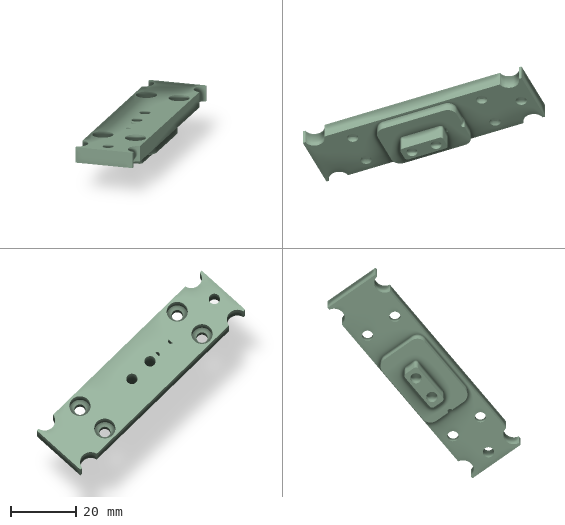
import cadquery as cq

total_height = 13.0
plate_length = 73.1
plate_width = 18.6
plate_height = 5.0
pad_length = 26.3
pad_width = 16.5
pad_height = 3.0
pad_corner_radius = 3.0
stem_length = 14.3
stem_width = 5.1
stem_height = total_height - plate_height - pad_height
stem_corner_radius = 1.0

hole_diameter = 3.4
counterbore_diameter = 6.5
counterbore_depth = 3.0
screw_spacing_x = 10.6
screw_spacing_y = 43.1
stem_hole_y = 4.0
notch_radius = counterbore_diameter / 2
notch_y = 32.5
notch_depth = 2.7
notch_x = plate_width / 2 - notch_depth + notch_radius

slot_radius = 0.8
stem_slot_y = -stem_length / 2
pad_slot_y = -pad_length / 2


def rounded_block(width, length, height, base_z, corner_radius):
    block = cq.Workplane("XY").workplane(offset=base_z).rect(width, length).extrude(height)
    return block.edges("|Z").fillet(corner_radius)


def half_round_cutter(flat_y, direction):
    """Half cylinder with its flat at flat_y, bulging along direction (+1 or -1) in Y."""
    return (
        cq.Workplane("XY")
        .moveTo(-slot_radius, flat_y)
        .threePointArc((0, flat_y + direction * slot_radius), (slot_radius, flat_y))
        .close()
        .extrude(total_height)
    )


stem = rounded_block(stem_width, stem_length, stem_height, 0, stem_corner_radius)
pad = rounded_block(pad_width, pad_length, pad_height, stem_height, pad_corner_radius)
plate = (
    cq.Workplane("XY")
    .workplane(offset=total_height - plate_height)
    .rect(plate_width, plate_length)
    .extrude(plate_height)
)
result = plate.union(pad).union(stem)

notch_points = [(x, y) for x in (-notch_x, notch_x) for y in (-notch_y, notch_y)]
notches = cq.Workplane("XY").pushPoints(notch_points).circle(notch_radius).extrude(total_height)
result = result.cut(notches)

top_plane = cq.Workplane("XY").workplane(offset=total_height)
screw_holes = top_plane.rect(screw_spacing_x, screw_spacing_y, forConstruction=True).vertices()
counterbores = screw_holes.circle(counterbore_diameter / 2).extrude(-counterbore_depth)
clearance_holes = screw_holes.circle(hole_diameter / 2).extrude(-total_height)
result = result.cut(counterbores).cut(clearance_holes)

centre_points = [(0, y) for y in (stem_hole_y, -stem_hole_y, -notch_y)]
centre_holes = top_plane.pushPoints(centre_points).circle(hole_diameter / 2).extrude(-total_height)
result = result.cut(centre_holes)

result = result.cut(half_round_cutter(stem_slot_y, -1)).cut(half_round_cutter(pad_slot_y, 1))